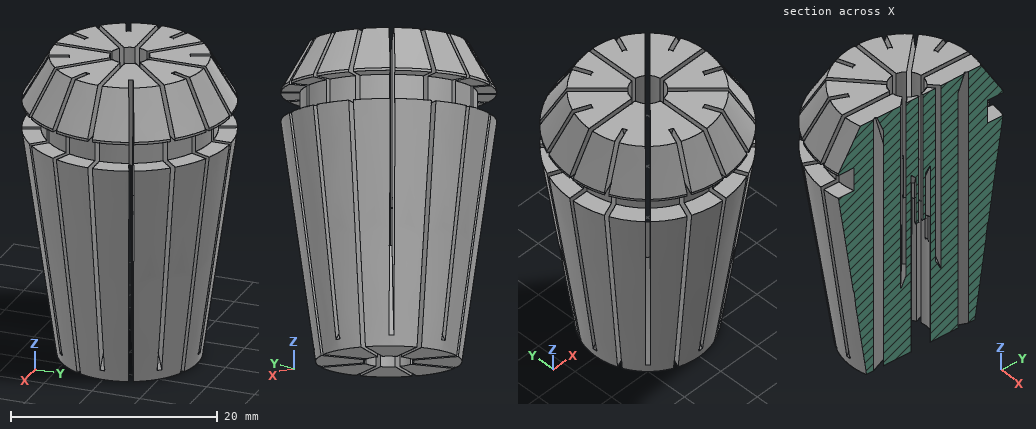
import cadquery as cq
import math

length = 31.5
rim_diameter = 21.0
top_diameter = 15.7
tail_diameter = 14.25
groove_diameter = 17.25
groove_bottom = 23.85
groove_top = 26.65
rim_land = 0.25

bore_diameter = 3.9
relief_diameter = 4.88
relief_depth = length / 2

slots_per_end = 8
slot_width = 0.47
saw_radius = 40.0
saw_nearest_axis = 0.5
head_slot_end_height = 1.05
tail_slot_end_radius = 5.9
tail_slot_tilt = 20

rim_radius = rim_diameter / 2
tail_radius = tail_diameter / 2
slot_pitch = 360 / slots_per_end


def collet_body():
    groove_radius = groove_diameter / 2
    half_section = [
        (0, 0),
        (tail_radius, 0),
        (rim_radius, groove_bottom),
        (groove_radius, groove_bottom),
        (groove_radius, groove_top),
        (rim_radius, groove_top),
        (rim_radius, groove_top + rim_land),
        (top_diameter / 2, length),
        (0, length),
    ]
    return cq.Workplane("XZ").polyline(half_section).close().revolve(360, (0, 0), (0, 1))


def stepped_bore():
    bore = cq.Workplane("XY").circle(bore_diameter / 2).extrude(length)
    relief = cq.Workplane("XY").circle(relief_diameter / 2).extrude(relief_depth)
    return bore.union(relief)


def slot_from_outline(outline):
    return outline.close().extrude(slot_width / 2, both=True)


def head_slot():
    """Slot open at the top, with a floor that curves out from the bore to the taper."""
    taper = (rim_radius - tail_radius) / groove_bottom
    end_radius = tail_radius + taper * head_slot_end_height
    saw_center_radius = saw_nearest_axis + saw_radius
    end_angle = math.acos((saw_center_radius - end_radius) / saw_radius)
    saw_center_height = head_slot_end_height + saw_radius * math.sin(end_angle)

    def point_on_saw(angle):
        radius = saw_center_radius - saw_radius * math.cos(angle)
        height = saw_center_height - saw_radius * math.sin(angle)
        return (radius, height)

    return slot_from_outline(
        cq.Workplane("XZ")
        .moveTo(saw_nearest_axis, length)
        .lineTo(*point_on_saw(0))
        .threePointArc(point_on_saw(end_angle / 2), point_on_saw(end_angle))
        .lineTo(rim_diameter, head_slot_end_height)
        .lineTo(rim_diameter, length)
    )


def tail_slot():
    """Slot through both ends, stopping short of the bore at the top and sloping in to it below."""
    slope_height = tail_slot_end_radius / math.tan(math.radians(tail_slot_tilt))
    outline = [
        (0, 0),
        (0, length - slope_height),
        (tail_slot_end_radius, length),
        (rim_diameter, length),
        (rim_diameter, 0),
    ]
    return slot_from_outline(cq.Workplane("XZ").polyline(outline))


result = collet_body().cut(stepped_bore())
for i in range(slots_per_end):
    result = result.cut(head_slot().rotate((0, 0, 0), (0, 0, 1), i * slot_pitch))
    result = result.cut(tail_slot().rotate((0, 0, 0), (0, 0, 1), (i + 0.5) * slot_pitch))